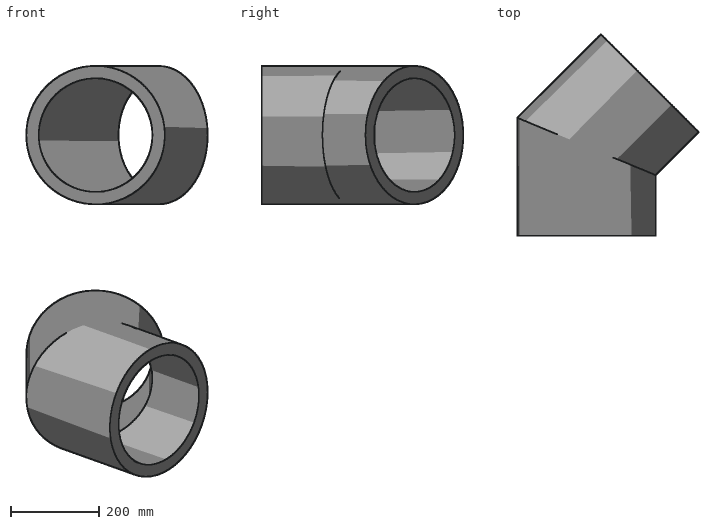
import cadquery as cq
import math

overall_length = 458.2
outer_diameter = 315.0
wall = 28.5
bend_angle = math.radians(45)

outer_radius = outer_diameter / 2
inner_radius = outer_radius - wall

leg_length = (overall_length - outer_radius * math.sin(bend_angle)) / (1 + math.cos(bend_angle))

start = (0, -leg_length)
corner = (0, 0)
end = (leg_length * math.sin(bend_angle), leg_length * math.cos(bend_angle))
centreline = cq.Workplane("XY").polyline([start, corner, end])

result = (
    cq.Workplane("XZ", origin=(0, -leg_length, 0))
    .circle(outer_radius)
    .circle(inner_radius)
    .sweep(centreline, transition="right")
)